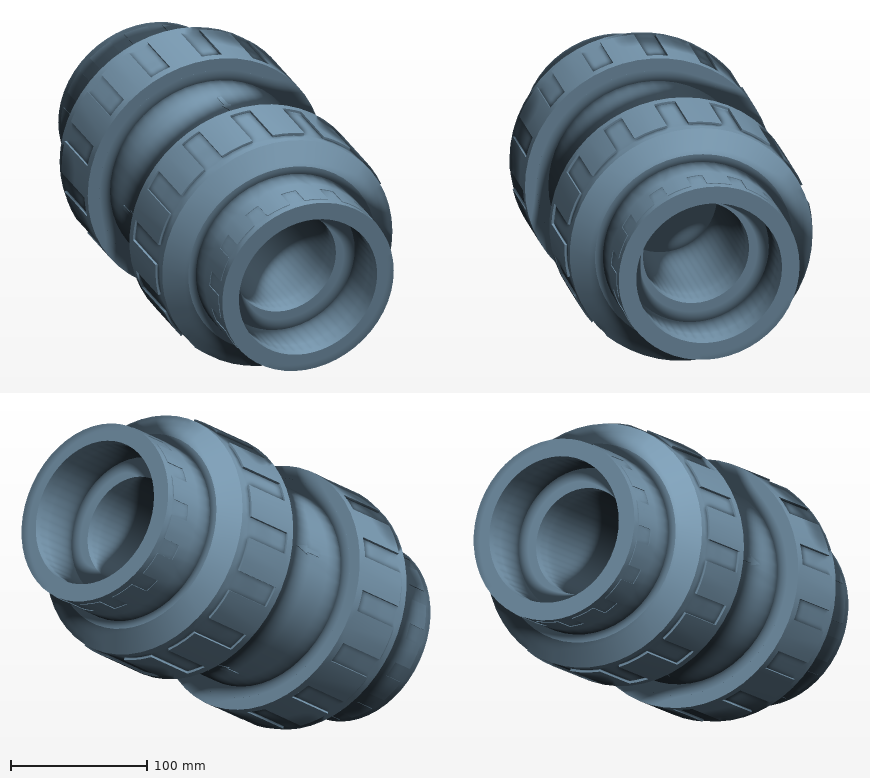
import math

import cadquery as cq

total_length = 315.0
half_length = total_length / 2

collar_diameter = 137.5
socket_land_diameter = 136.5
socket_land_length = 6.0
collar_tooth_length = 17.5
socket_diameter = 110.0
socket_depth = 43.0
port_diameter = 80.0
closure_thickness = 20.0

body_diameter = 151.45
body_flange_diameter = 168.28

nut_diameter = 187.0
nut_base_diameter = 183.26
nut_nose_diameter = 149.5
nut_flange_bore = 168.3
nut_inner_x = 40.0
nut_length = 68.0
nut_cone_length = 9.5
nut_base_length = 8.5
nut_tooth_length = 43.5
flange_gap_depth = 1.0

tooth_count = 14
tooth_pitch = 360 / tooth_count
tooth_angle = 15.8
notch_angle = tooth_pitch - tooth_angle
first_tooth_angle = 5.06
first_notch_angle = first_tooth_angle + tooth_pitch / 2
sleeve_wall = 5.0

arrow_count = 4
arrow_tail_x = -13.0
arrow_neck_x = 0.5
arrow_tip_x = 13.5
arrow_shaft_width = 3.4
arrow_head_width = 7.0
arrow_top_diameter = 152.4
arrow_root_overlap = 2.0

nut_outer_x = nut_inner_x + nut_length
nut_cone_x = nut_outer_x - nut_cone_length
nut_tooth_end_x = nut_cone_x - nut_base_length
nut_tooth_start_x = nut_tooth_end_x - nut_tooth_length
collar_tooth_end_x = half_length - socket_land_length
collar_tooth_start_x = collar_tooth_end_x - collar_tooth_length


def cylinder(diameter, start_x, end_x):
    return cq.Workplane("YZ", origin=(start_x, 0, 0)).circle(diameter / 2).extrude(end_x - start_x)


def about_x(shape, angle):
    return shape.rotate((0, 0, 0), (1, 0, 0), angle)


def half_turn(shape):
    """Carry a +X feature to the -X end by turning it half a turn about Z."""
    return shape.rotate((0, 0, 0), (0, 0, 1), 180)


def end_blank():
    """Nut and collar of the +X end at the level of the notch floors."""
    profile = [
        (0, 0),
        (0, body_diameter / 2),
        (nut_inner_x, body_diameter / 2),
        (nut_inner_x, nut_base_diameter / 2),
        (nut_cone_x, nut_base_diameter / 2),
        (nut_outer_x, nut_nose_diameter / 2),
        (nut_outer_x, socket_land_diameter / 2),
        (half_length, socket_land_diameter / 2),
        (half_length, 0),
    ]
    return cq.Workplane("XY").polyline(profile).close().revolve(360, (0, 0, 0), (1, 0, 0))


def toothed_sleeve(outer_diameter, start_x, tooth_start_x, tooth_end_x):
    """Plain sleeve whose outboard end carries the grip teeth; its wall reaches below the notch floors."""
    inner_diameter = outer_diameter - 2 * sleeve_wall
    sleeve = cylinder(outer_diameter, start_x, tooth_end_x)
    sleeve = sleeve.cut(cylinder(inner_diameter, start_x, tooth_end_x))
    half_notch = math.radians(notch_angle / 2)
    wedge_half_width = outer_diameter * math.tan(half_notch)
    wedge = (
        cq.Workplane("YZ", origin=(tooth_start_x, 0, 0))
        .polyline([(0, 0), (outer_diameter, -wedge_half_width), (outer_diameter, wedge_half_width)])
        .close()
        .extrude(tooth_end_x - tooth_start_x)
    )
    for index in range(tooth_count):
        sleeve = sleeve.cut(about_x(wedge, first_notch_angle + index * tooth_pitch))
    return sleeve


def flange_gap():
    """Hairline clearance between the body flange and the nut bore."""
    return (
        cq.Workplane("YZ", origin=(nut_inner_x, 0, 0))
        .circle(nut_flange_bore / 2)
        .circle(body_flange_diameter / 2)
        .extrude(flange_gap_depth)
    )


def bore():
    """Pipe socket with a narrower port that ends at the closed valve in the middle."""
    socket = cylinder(socket_diameter, half_length - socket_depth, half_length)
    port = cylinder(port_diameter, closure_thickness / 2, half_length)
    return socket.union(port)


def valve_end():
    nut_sleeve = toothed_sleeve(nut_diameter, nut_inner_x, nut_tooth_start_x, nut_tooth_end_x)
    collar_sleeve = toothed_sleeve(collar_diameter, nut_outer_x, collar_tooth_start_x, collar_tooth_end_x)
    return end_blank().union(nut_sleeve).union(collar_sleeve).cut(bore()).cut(flange_gap())


def flow_arrow():
    """Slightly raised arrow on the +Z side of the body."""
    half_shaft = arrow_shaft_width / 2
    half_head = arrow_head_width / 2
    outline = [
        (arrow_tail_x, -half_shaft),
        (arrow_neck_x, -half_shaft),
        (arrow_neck_x, -half_head),
        (arrow_tip_x, 0),
        (arrow_neck_x, half_head),
        (arrow_neck_x, half_shaft),
        (arrow_tail_x, half_shaft),
    ]
    root_height = body_diameter / 2 - arrow_root_overlap
    prism = cq.Workplane("XY", origin=(0, 0, root_height)).polyline(outline).close().extrude(nut_diameter)
    return prism.intersect(cylinder(arrow_top_diameter, arrow_tail_x, arrow_tip_x))


result = valve_end()
result = result.union(half_turn(result))
for arrow_index in range(arrow_count):
    result = result.union(about_x(flow_arrow(), arrow_index * 360 / arrow_count))